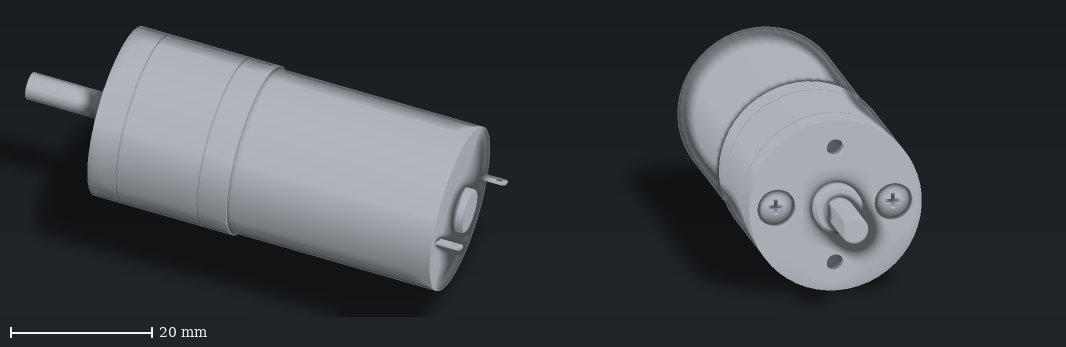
import cadquery as cq
import math


overall_length = 68.9

gearbox_diameter = 25.0
gearbox_radius = gearbox_diameter / 2
gearbox_length = 21.0
groove_width = 0.3
groove_depth = 0.15
groove_centers = (4.35, 16.6)

motor_radius = 12.1
motor_length = 30.7
motor_end = gearbox_length + motor_length
rear_boss_radius = 3.25
rear_boss_length = 1.5
rear_boss_fillet = 0.35

front_boss_radius = 3.5
front_boss_length = 2.5
front_boss_chamfer = 0.35
shaft_radius = 2.0
shaft_length = 11.0
shaft_tip = -(front_boss_length + shaft_length)
shaft_fillet = 0.3
flat_height = 1.5
flat_length = 10.8

pitch_radius = 8.5
mount_hole_diameter = 2.5
mount_hole_depth = 4.1
drill_point_angle = 118
pocket_diameter = 5.6
pocket_depth = 2.1

head_radius = 2.5
head_rim_height = 0.55
head_height = 1.5
cross_span = 2.3
cross_width = 0.6
cross_depth = 1.4

terminal_length = overall_length + shaft_tip - motor_end
terminal_width = 2.0
terminal_thickness = 0.35
terminal_chamfer = 0.35
terminal_hole_diameter = 0.95
terminal_hole_setback = 1.1
terminal_tilt = 32
terminal_y = 8.95
terminal_z = 2.7


def cylinder(start, end, radius):
    """Cylinder on the X axis between two X positions."""
    return cq.Workplane("YZ").workplane(offset=start).circle(radius).extrude(end - start)


def make_gearbox():
    """Gearbox drum with two shallow grooves around it."""
    gearbox = cylinder(0, gearbox_length, gearbox_radius)
    for center in groove_centers:
        start = center - groove_width / 2
        end = center + groove_width / 2
        ring = cylinder(start, end, gearbox_radius + groove_depth)
        core = cylinder(start, end, gearbox_radius - groove_depth)
        gearbox = gearbox.cut(ring.cut(core))
    return gearbox


def make_motor():
    """Motor can behind the gearbox, with the rear boss."""
    can = cylinder(gearbox_length, motor_end, motor_radius)
    boss = cylinder(motor_end, motor_end + rear_boss_length, rear_boss_radius)
    return can.union(boss.faces(">X").edges().fillet(rear_boss_fillet))


def make_shaft():
    """Front boss and the shaft, which has a flat on its +Y side."""
    boss = cylinder(-front_boss_length, 0, front_boss_radius)
    boss = boss.faces("<X").chamfer(front_boss_chamfer)
    shaft = cylinder(shaft_tip, -front_boss_length, shaft_radius)
    shaft = shaft.faces("<X").edges().fillet(shaft_fillet)
    flat_cut = cq.Workplane("XY").box(
        flat_length, shaft_radius, 2 * shaft_radius, centered=(False, False, True)
    )
    shaft = shaft.cut(flat_cut.translate((shaft_tip, flat_height, 0)))
    return boss.union(shaft)


def make_terminal():
    """Solder tab along X, tilted about its own length."""
    tab = cq.Workplane("XY").box(
        terminal_length, terminal_width, terminal_thickness, centered=(False, True, True)
    )
    tab = tab.edges("|Z and >X").chamfer(terminal_chamfer)
    hole = cq.Workplane("XY").circle(terminal_hole_diameter / 2).extrude(terminal_thickness, both=True)
    tab = tab.cut(hole.translate((terminal_length - terminal_hole_setback, 0, 0)))
    return tab.rotate((0, 0, 0), (1, 0, 0), -terminal_tilt).translate((motor_end, 0, 0))


def make_mount_hole():
    """Blind drilled hole with a conical bottom."""
    radius = mount_hole_diameter / 2
    point_length = radius / math.tan(math.radians(drill_point_angle / 2))
    outline = [(0, 0), (mount_hole_depth + point_length, 0), (mount_hole_depth, radius), (0, radius)]
    return cq.Workplane("XY").polyline(outline).close().revolve(360, (0, 0), (1, 0))


def make_gearmotor():
    """Gearbox, motor, shaft and terminals as one solid, with its holes and screw pockets."""
    gearmotor = make_gearbox().union(make_motor()).union(make_shaft())
    pocket = cylinder(0, pocket_depth, pocket_diameter / 2)
    for side in (-1, 1):
        gearmotor = gearmotor.union(make_terminal().translate((0, side * terminal_y, -side * terminal_z)))
        gearmotor = gearmotor.cut(make_mount_hole().translate((0, 0, side * pitch_radius)))
        gearmotor = gearmotor.cut(pocket.translate((0, side * pitch_radius, 0)))
    return gearmotor


def make_screw():
    """Domed screw head on the floor of its pocket, with a tapered cross recess."""
    rim = pocket_depth - head_rim_height
    crown = pocket_depth - head_height
    dome_height = head_height - head_rim_height
    dome_radius = (head_radius**2 + dome_height**2) / (2 * dome_height)
    half_angle = math.asin(head_radius / dome_radius) / 2
    dome_mid = (crown + dome_radius * (1 - math.cos(half_angle)), dome_radius * math.sin(half_angle))
    head = (
        cq.Workplane("XY")
        .moveTo(crown, 0)
        .threePointArc(dome_mid, (rim, head_radius))
        .lineTo(pocket_depth, head_radius)
        .lineTo(pocket_depth, 0)
        .close()
        .revolve(360, (0, 0), (1, 0))
    )
    dome_drop = dome_radius - math.sqrt(dome_radius**2 - (cross_span / 2) ** 2)
    wall_slope = (cross_span / 2) / (cross_depth - dome_drop)
    half_mouth = wall_slope * cross_depth
    slot = (
        cq.Workplane("XY")
        .polyline([(crown, -half_mouth), (crown, half_mouth), (crown + cross_depth, 0)])
        .close()
        .extrude(cross_width / 2, both=True)
    )
    return head.cut(slot).cut(slot.rotate((0, 0, 0), (1, 0, 0), 90))


gearmotor = make_gearmotor()
screws = [make_screw().translate((0, side * pitch_radius, 0)) for side in (-1, 1)]
result = cq.Compound.makeCompound([gearmotor.val(), *[screw.val() for screw in screws]])